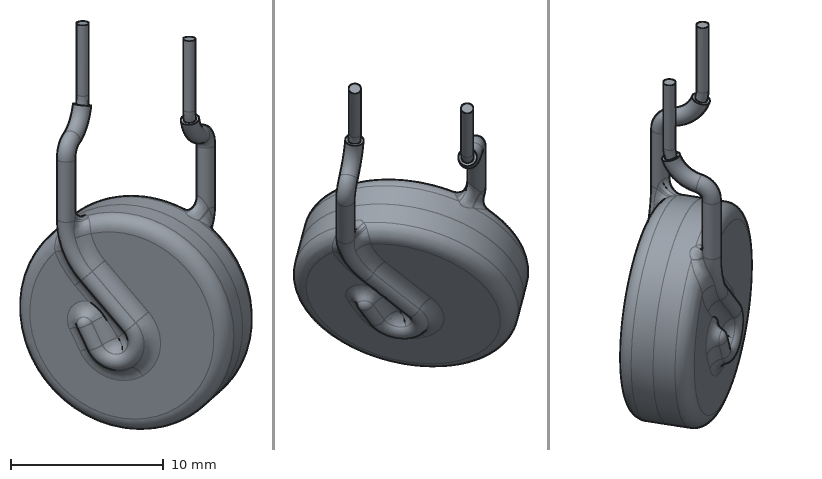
import cadquery as cq
import math

disc_radius = 7.502
disc_thickness = 5.0
rim_fillet = 1.0

overall_depth = 7.0
overall_height = 27.23
lead_radius = 0.613
bare_radius = 0.4
lead_x = -3.75
lead_y = -(overall_depth / 2 - lead_radius)
tip_z = overall_height - disc_radius
blend_radius = 0.98
seam_tolerance = 0.0003

bend_start_z = 7.05
bend_radius = 5.3
hook_x = -0.27
hook_z = -0.87
hook_radius = 1.52
hook_end_angle = -153.0
tail_length = 1.63

crimp_start_z = 11.27
crimp_angle = math.radians(79)
crimp_lower_radius = 1.1
crimp_upper_radius = -lead_y / (1 - math.cos(crimp_angle)) - crimp_lower_radius
strip_angle = math.radians(17)


def on_circle(center, radius, angle):
    """Point of a circle in a plane, angle in radians."""
    return (center[0] + radius * math.cos(angle), center[1] + radius * math.sin(angle))


def make_half_disc():
    """Front half of the disc, flat on the middle plane and rounded at the outer rim."""
    half = cq.Workplane("XZ").circle(disc_radius).extrude(disc_thickness / 2)
    return half.faces("<Y").edges().fillet(rim_fillet)


bend_center = (lead_x + bend_radius, bend_start_z)
hook_center = (hook_x, hook_z)
center_dx = hook_x - bend_center[0]
center_dz = hook_z - bend_start_z
center_distance = math.hypot(center_dx, center_dz)
run_angle = (math.atan2(center_dz, center_dx)
             - math.acos((bend_radius + hook_radius) / center_distance)) % (2 * math.pi)
hook_start_angle = run_angle - math.pi
hook_stop_angle = math.radians(hook_end_angle)
tail_start = on_circle(hook_center, hook_radius, hook_stop_angle)
tail_end = on_circle(tail_start, tail_length, hook_stop_angle - math.pi / 2)


hook_split_angle = (hook_start_angle + hook_stop_angle) / 2
hook_split = on_circle(hook_center, hook_radius, hook_split_angle)


def hook_arc_middle(first_angle, last_angle):
    return on_circle(hook_center, hook_radius, (first_angle + last_angle) / 2)


def make_upper_lead():
    """Lead from the foot of the crimp, round the bend and half way round the hook."""
    path = (
        cq.Workplane("XZ", origin=(0, lead_y, 0))
        .moveTo(lead_x, crimp_start_z)
        .lineTo(lead_x, bend_start_z)
        .threePointArc(on_circle(bend_center, bend_radius, (math.pi + run_angle) / 2),
                       on_circle(bend_center, bend_radius, run_angle))
        .lineTo(*on_circle(hook_center, hook_radius, hook_start_angle))
        .threePointArc(hook_arc_middle(hook_start_angle, hook_split_angle), hook_split)
    )
    return (
        cq.Workplane("XY", origin=(lead_x, lead_y, crimp_start_z))
        .circle(lead_radius)
        .sweep(path)
    )


def make_tail():
    """Rest of the hook and the straight tail with its rounded end."""
    path = (
        cq.Workplane("XZ", origin=(0, lead_y, 0))
        .moveTo(*hook_split)
        .threePointArc(hook_arc_middle(hook_split_angle, hook_stop_angle), tail_start)
        .lineTo(*tail_end)
    )
    split_direction = (math.sin(hook_split_angle), 0, -math.cos(hook_split_angle))
    split_plane = cq.Plane((hook_split[0], lead_y, hook_split[1]), (0, 1, 0), split_direction)
    tail = cq.Workplane(split_plane).circle(lead_radius).sweep(path)
    tail_ball = cq.Workplane("XY", origin=(tail_end[0], lead_y, tail_end[1])).sphere(lead_radius)
    return tail.union(tail_ball)


lower_center = (lead_y + crimp_lower_radius, crimp_start_z)
crimp_middle = on_circle(lower_center, crimp_lower_radius, math.pi - crimp_angle)
upper_center = (-crimp_upper_radius,
                crimp_start_z + (crimp_lower_radius + crimp_upper_radius) * math.sin(crimp_angle))
strip_point = on_circle(upper_center, crimp_upper_radius, -strip_angle)


def make_free_lead():
    """Insulated crimp followed by the bare tip."""
    insulated_path = (
        cq.Workplane("YZ", origin=(lead_x, 0, 0))
        .moveTo(lead_y, crimp_start_z)
        .threePointArc(on_circle(lower_center, crimp_lower_radius, math.pi - crimp_angle / 2), crimp_middle)
        .threePointArc(on_circle(upper_center, crimp_upper_radius, -(crimp_angle + strip_angle) / 2),
                       strip_point)
    )
    insulated = (
        cq.Workplane("XY", origin=(lead_x, lead_y, crimp_start_z))
        .circle(lead_radius)
        .sweep(insulated_path)
    )
    bare_path = (
        cq.Workplane("YZ", origin=(lead_x, 0, 0))
        .moveTo(0, tip_z)
        .lineTo(*on_circle(upper_center, crimp_upper_radius, 0))
        .threePointArc(on_circle(upper_center, crimp_upper_radius, -strip_angle / 2), strip_point)
    )
    bare = cq.Workplane("XY", origin=(lead_x, 0, tip_z)).circle(bare_radius).sweep(bare_path)
    return insulated.union(bare)


def blend_into_disc(disc, lead):
    """Join lead and disc and fillet the seam along the lead's round side, not its flat ends."""
    joined = disc.union(lead).solids().val()
    disc_skin = disc.val().Shells()[0]
    lead_side = cq.Compound.makeCompound(lead.faces("not %PLANE").vals())

    def is_seam(edge):
        middle = cq.Vertex.makeVertex(*edge.positionAt(0.5).toTuple())
        return max(disc_skin.distance(middle), lead_side.distance(middle)) < seam_tolerance

    seam = [edge for edge in joined.Edges() if is_seam(edge)]
    return cq.Workplane(joined.fillet(blend_radius, seam))


def half_turn(body):
    return body.rotate((0, 0, 0), (0, 0, 1), 180)


half_disc = make_half_disc()
upper_side = blend_into_disc(half_disc, make_upper_lead())
tail_side = blend_into_disc(half_disc, make_tail())
blended_side = upper_side.union(tail_side)
free_lead = make_free_lead()
result = (
    blended_side
    .union(half_turn(blended_side))
    .union(free_lead)
    .union(half_turn(free_lead))
)